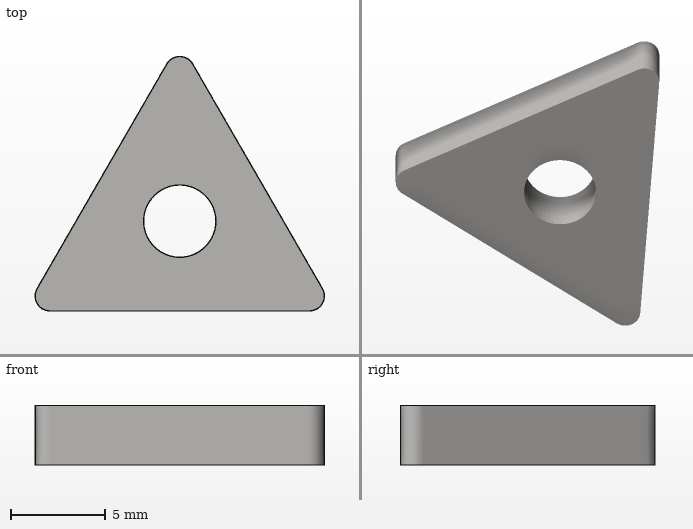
import cadquery as cq
import math

overall_width = 15.33
thickness = 3.17
nose_radius = 0.8
hole_diameter = 3.82

nose_spacing = overall_width - 2 * nose_radius
inscribed_radius = nose_spacing / (2 * math.sqrt(3)) + nose_radius
sharp_corner_radius = 2 * inscribed_radius


def corner(angle_degrees):
    """Unrounded corner of the triangle in the given direction."""
    angle = math.radians(angle_degrees)
    return (sharp_corner_radius * math.cos(angle), sharp_corner_radius * math.sin(angle))


plate = (
    cq.Workplane("XY")
    .polyline([corner(angle) for angle in (90, 210, 330)])
    .close()
    .extrude(thickness)
    .edges("|Z")
    .fillet(nose_radius)
)

clamping_hole = cq.Workplane("XY").circle(hole_diameter / 2).extrude(thickness)

result = plate.cut(clamping_hole)